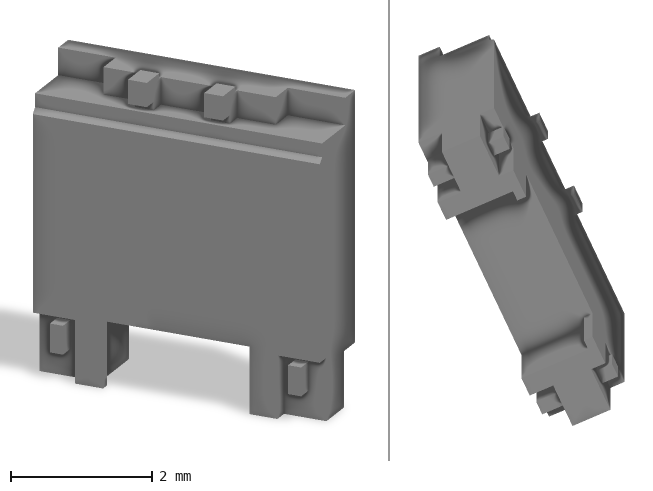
import cadquery as cq

WIDTH = 4.5
BODY_DEPTH = 1.175
OVERALL_DEPTH = 1.2
BODY_HEIGHT = 4.71
OVERALL_HEIGHT = 4.79
HALF_WIDTH = WIDTH / 2

LEDGE_HEIGHT = 4.29
LEDGE_DEPTH = 1.1
BACK_WALL = 0.33
BLOCK_WIDTH = 2.7
BLOCK_DEPTH = 0.73
CHAMFER_BOTTOM = 4.0
CHAMFER_RISE = 0.08

PIN_WIDTH = 0.295
PIN_CENTER_X = 0.5975
PIN_HEAD_BACK = 0.79
PIN_STEM_DEPTH = 0.97
PIN_HEAD_BOTTOM = 4.42

NOTCH_HEIGHT = 1.03
NOTCH_HALF_WIDTH = 1.147
FRONT_WALL = 0.135
NOTCH_WIDENING = 0.15

RECESS_INNER_X = 1.585
FRONT_RECESS_Y = 0.955
FRONT_RECESS_HEIGHT = 0.97
REAR_RECESS_DEPTH = 0.365
REAR_RECESS_HEIGHT = 0.86
NUB_INNER_X = 1.765
NUB_OUTER_X = 1.97
NUB_TOP = 0.86
FRONT_NUB_BOTTOM = 0.42
REAR_NUB_BOTTOM = 0.18
REAR_NUB_INSET = 0.02


def block(x_range, depth_range, z_range):
    """Box between two X values, two distances in front of the back face and two heights."""
    x0, x1 = x_range
    d0, d1 = depth_range
    z0, z1 = z_range
    return cq.Workplane("XY").box(x1 - x0, d1 - d0, z1 - z0, centered=False).translate((x0, -d1, z0))


def both_sides(shape):
    """The shape together with its mirror image across the YZ plane."""
    return shape.union(shape.mirror("YZ"))


def make_body():
    """Side profile extruded over the full width, plus the central block on the ledge."""
    profile = [
        (0, 0),
        (-BODY_DEPTH, 0),
        (-BODY_DEPTH, CHAMFER_BOTTOM),
        (-LEDGE_DEPTH, CHAMFER_BOTTOM + CHAMFER_RISE),
        (-LEDGE_DEPTH, LEDGE_HEIGHT),
        (-BACK_WALL, LEDGE_HEIGHT),
        (-BACK_WALL, BODY_HEIGHT),
        (0, BODY_HEIGHT),
    ]
    shell = cq.Workplane("YZ").polyline(profile).close().extrude(HALF_WIDTH, both=True)
    half_block = BLOCK_WIDTH / 2
    return shell.union(block((-half_block, half_block), (0, BLOCK_DEPTH), (LEDGE_HEIGHT, BODY_HEIGHT)))


def make_pins():
    """Stems level with the block, carrying heads that rise above it and overhang the ledge."""
    x_range = (PIN_CENTER_X - PIN_WIDTH / 2, PIN_CENTER_X + PIN_WIDTH / 2)
    stem = block(x_range, (BACK_WALL, PIN_STEM_DEPTH), (LEDGE_HEIGHT, BODY_HEIGHT))
    head = block(x_range, (PIN_HEAD_BACK, OVERALL_DEPTH), (PIN_HEAD_BOTTOM, OVERALL_HEIGHT))
    return both_sides(stem.union(head))


def make_notch():
    """Opening between the feet, with the wider part reaching the back face."""
    wide_half = NOTCH_HALF_WIDTH + NOTCH_WIDENING
    front = block((-NOTCH_HALF_WIDTH, NOTCH_HALF_WIDTH), (0, BODY_DEPTH), (0, NOTCH_HEIGHT))
    back = block((-wide_half, wide_half), (0, BODY_DEPTH - FRONT_WALL), (0, NOTCH_HEIGHT))
    return front.union(back)


def make_recesses():
    """Front and rear cutouts at the outer corners of both feet."""
    x_range = (RECESS_INNER_X, HALF_WIDTH)
    front = block(x_range, (FRONT_RECESS_Y, BODY_DEPTH), (0, FRONT_RECESS_HEIGHT))
    rear = block(x_range, (0, REAR_RECESS_DEPTH), (0, REAR_RECESS_HEIGHT))
    return both_sides(front.union(rear))


def make_nubs():
    """Small blocks standing on the floors of the front and rear recesses."""
    x_range = (NUB_INNER_X, NUB_OUTER_X)
    front = block(x_range, (FRONT_RECESS_Y, OVERALL_DEPTH), (FRONT_NUB_BOTTOM, NUB_TOP))
    rear = block(x_range, (REAR_NUB_INSET, REAR_RECESS_DEPTH), (REAR_NUB_BOTTOM, NUB_TOP))
    return both_sides(front.union(rear))


result = (
    make_body()
    .union(make_pins())
    .cut(make_notch())
    .cut(make_recesses())
    .union(make_nubs())
)